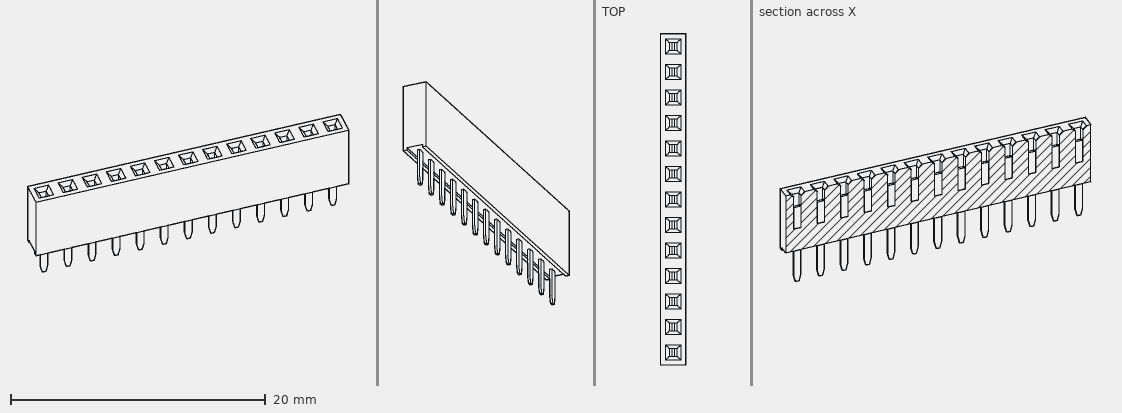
import cadquery as cq

POSITIONS = 13
PITCH = 2.0
BODY_WIDTH = 2.0
BODY_LENGTH = POSITIONS * PITCH
BODY_HEIGHT = 5.6

FOOT_WIDTH = 0.33
GROOVE_WIDTH = BODY_WIDTH - 2 * FOOT_WIDTH
GROOVE_DEPTH = 0.2

MOUTH_SIZE = 1.2
WELL_SIZE = 0.6
FUNNEL_DEPTH = (MOUTH_SIZE - WELL_SIZE) / 2
WELL_DEPTH = 3.0
SOCKET_DEPTH = FUNNEL_DEPTH + WELL_DEPTH

BLADE_THICKNESS = 0.2
BLADE_WIDTH = WELL_SIZE
TAIL_LENGTH = 2.7
TIP_WIDTH = 0.3
TAPER_LENGTH = 0.6
BLADE_RISE = 2.0
BLADE_TOP = BODY_HEIGHT - SOCKET_DEPTH + BLADE_RISE


def make_housing():
    """Block standing on z = 0, with the full-length groove cut from below."""
    block = cq.Workplane("XY").box(BODY_WIDTH, BODY_LENGTH, BODY_HEIGHT, centered=(True, True, False))
    groove = cq.Workplane("XY").box(GROOVE_WIDTH, BODY_LENGTH, GROOVE_DEPTH, centered=(True, True, False))
    return block.cut(groove)


def make_socket():
    """Solid to remove for one socket, centred on the Z axis."""
    funnel = (
        cq.Workplane("XY", origin=(0, 0, BODY_HEIGHT - FUNNEL_DEPTH))
        .rect(WELL_SIZE, WELL_SIZE)
        .workplane(offset=FUNNEL_DEPTH)
        .rect(MOUTH_SIZE, MOUTH_SIZE)
        .loft(ruled=True)
    )
    well = (
        cq.Workplane("XY", origin=(0, 0, BODY_HEIGHT - SOCKET_DEPTH))
        .rect(WELL_SIZE, WELL_SIZE)
        .extrude(WELL_DEPTH)
    )
    return funnel.union(well)


def make_contact():
    """One blade, centred on the Z axis, with its width along Y."""
    half_width = BLADE_WIDTH / 2
    half_tip = TIP_WIDTH / 2
    shoulder = TAPER_LENGTH - TAIL_LENGTH
    outline = [
        (-half_tip, -TAIL_LENGTH),
        (half_tip, -TAIL_LENGTH),
        (half_width, shoulder),
        (half_width, BLADE_TOP),
        (-half_width, BLADE_TOP),
        (-half_width, shoulder),
    ]
    return cq.Workplane("YZ").polyline(outline).close().extrude(BLADE_THICKNESS / 2, both=True)


result = make_housing()
socket = make_socket()
contact = make_contact()
for index in range(POSITIONS):
    position = (0, (index - (POSITIONS - 1) / 2) * PITCH, 0)
    result = result.cut(socket.translate(position)).union(contact.translate(position))